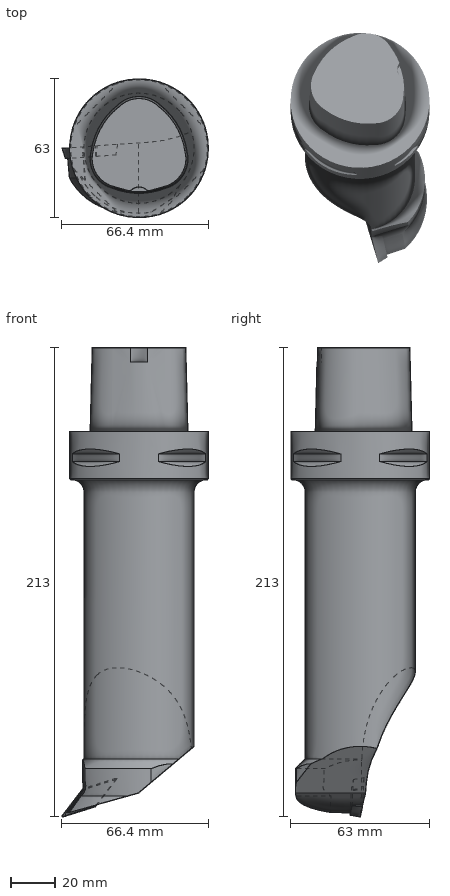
import cadquery as cq
import math


coupling_length = 38.0
coupling_mean_radius = 22.0
coupling_lobe = 1.5
coupling_taper = 1 / 40
flank_half_angle = 23.0
coupling_notch_width = 8.0
coupling_notch_height = 6.5
coupling_notch_radius = 5.0
coupling_notch_depth = 2.0

flange_radius = 31.5
flange_length = 22.0
flange_chamfer = 0.5
shank_radius = 25.0
shank_fillet = 5.5

groove_count = 4
groove_z = -12.0
groove_floor_radius = 27.6
groove_floor_width = 3.4
groove_wall_angle = 30.0

tip_x = -34.9
tip_z = -175.0
rake_turn = 4.0

head_radius = 29.5
head_top_z = -148.6
head_cone_z = head_top_z - (head_radius - shank_radius)
head_flare_z = -165.5
head_flare_angle = 33.0
head_flat_offset = 27.3
head_flat_direction = -56.9

heel_x = -0.3
heel_z = -164.2
back_slope = 40.0
toe_x = -32.8
toe_z = -173.3

relief_wall_x = -25.7
relief_wall_end_z = -158.8
relief_hollow_x = -25.4
relief_hollow_z = -161.5
relief_edge_x = -27.2
relief_edge_z = -165.4

flute_radius = 60.0
flute_slope = 17.0
flute_start_x = -25.0
flute_start_z = -150.0

insert_edge = 16.6
insert_point_angle = 35.0
insert_lead = 17.5
insert_thickness = 4.76
insert_clearance = 5.0
insert_nose_radius = 0.4

clear = 80.0


def polar(radius, degrees):
    angle = math.radians(degrees)
    return (radius * math.cos(angle), radius * math.sin(angle))


def lobe_point(mean_radius, degrees):
    """Point of the three-lobed curve with this outward normal direction; one lobe points to +Y."""
    phase = 3 * math.radians(degrees - 90)
    reach = mean_radius + coupling_lobe * math.cos(phase)
    slide = -3 * coupling_lobe * math.sin(phase)
    along = polar(reach, degrees)
    across = polar(slide, degrees + 90)
    return (along[0] + across[0], along[1] + across[1])


def lobed_outline(workplane, mean_radius):
    """Closed outline of three flank arcs and three lobe arcs."""
    outline = workplane.moveTo(*lobe_point(mean_radius, -90 - flank_half_angle))
    for flank_direction in (-90, 30, 150):
        lobe_direction = flank_direction + 60
        flank_end = flank_direction + flank_half_angle
        lobe_end = flank_direction + 120 - flank_half_angle
        outline = outline.threePointArc(
            lobe_point(mean_radius, flank_direction), lobe_point(mean_radius, flank_end)
        )
        outline = outline.threePointArc(
            lobe_point(mean_radius, lobe_direction), lobe_point(mean_radius, lobe_end)
        )
    return outline.close()


def make_coupling():
    top_radius = coupling_mean_radius - coupling_taper * coupling_length
    base = lobed_outline(cq.Workplane("XY"), coupling_mean_radius)
    coupling = lobed_outline(base.workplane(offset=coupling_length), top_radius).loft(ruled=True)

    flank_y = -(top_radius - coupling_lobe)
    notch_y = flank_y + coupling_notch_depth - coupling_notch_radius
    notch = (
        cq.Workplane("XY", origin=(0, notch_y, coupling_length - coupling_notch_height))
        .circle(coupling_notch_radius)
        .extrude(coupling_notch_height)
    )
    notch_limit = cq.Workplane("XY").box(coupling_notch_width, clear, clear * 2)
    return coupling.cut(notch.intersect(notch_limit))


def make_flange_and_shank():
    fillet_outer = shank_radius + shank_fillet
    fillet_end_z = -flange_length - shank_fillet
    fillet_mid = polar(shank_fillet, 135)
    return (
        cq.Workplane("XZ")
        .lineTo(flange_radius, 0)
        .lineTo(flange_radius, -flange_length + flange_chamfer)
        .lineTo(flange_radius - flange_chamfer, -flange_length)
        .lineTo(fillet_outer, -flange_length)
        .threePointArc(
            (fillet_outer + fillet_mid[0], fillet_end_z + fillet_mid[1]),
            (shank_radius, fillet_end_z),
        )
        .lineTo(shank_radius, tip_z)
        .lineTo(0, tip_z)
        .close()
        .revolve(360, (0, 0), (0, 1))
    )


def cut_gripper_grooves(body):
    depth = flange_radius - groove_floor_radius
    floor_half = groove_floor_width / 2
    mouth_half = floor_half + depth * math.tan(math.radians(groove_wall_angle))
    groove = (
        cq.Workplane("XZ")
        .moveTo(groove_floor_radius, groove_z - floor_half)
        .lineTo(flange_radius, groove_z - mouth_half)
        .lineTo(flange_radius, groove_z + mouth_half)
        .lineTo(groove_floor_radius, groove_z + floor_half)
        .close()
        .extrude(flange_radius, both=True)
    )
    for index in range(groove_count):
        direction = 360 / groove_count * (index + 0.5)
        body = body.cut(groove.rotate((0, 0, 0), (0, 0, 1), direction))
    return body


def turn_to_rake(shape):
    return shape.rotate((tip_x, 0, 0), (tip_x, 0, 1), rake_turn)


def make_head():
    """Wider end of the bar: cone, cylinder and flared skirt, less a side flat and a relief at the tip."""
    skirt_radius = head_radius + (head_flare_z - tip_z) * math.tan(math.radians(head_flare_angle))
    head = (
        cq.Workplane("XZ")
        .moveTo(0, head_top_z)
        .lineTo(shank_radius, head_top_z)
        .lineTo(head_radius, head_cone_z)
        .lineTo(head_radius, head_flare_z)
        .lineTo(skirt_radius, tip_z)
        .lineTo(0, tip_z)
        .close()
        .revolve(360, (0, 0), (0, 1))
    )
    side_flat = (
        cq.Workplane("XY", origin=(0, 0, tip_z))
        .transformed(rotate=(0, 0, head_flat_direction))
        .center(head_flat_offset + clear / 2, 0)
        .rect(clear, clear)
        .extrude(clear)
    )
    relief = (
        cq.Workplane("XZ")
        .moveTo(relief_wall_x, 0)
        .lineTo(relief_wall_x, relief_wall_end_z)
        .threePointArc((relief_hollow_x, relief_hollow_z), (relief_edge_x, relief_edge_z))
        .lineTo(toe_x, toe_z)
        .lineTo(toe_x, tip_z)
        .lineTo(-clear, tip_z)
        .lineTo(-clear, 0)
        .close()
        .extrude(clear, both=True)
    )
    return head.cut(side_flat).cut(turn_to_rake(relief))


def make_underside_cut():
    """Removes what lies below the bottom face and the steep back face."""
    bottom_slope = (heel_z - toe_z) / (heel_x - toe_x)
    back_rise = (clear - heel_x) * math.tan(math.radians(back_slope))
    return (
        cq.Workplane("XZ")
        .moveTo(heel_x, heel_z)
        .lineTo(clear, heel_z + back_rise)
        .lineTo(clear, tip_z - clear)
        .lineTo(-clear, tip_z - clear)
        .lineTo(-clear, heel_z - bottom_slope * (clear + heel_x))
        .close()
        .extrude(clear, both=True)
    )


def make_flute():
    """Flat rake face that runs out to the shank surface in a concave arc."""
    slope = math.radians(flute_slope)
    across_bar = cq.Plane(
        origin=(flute_start_x, 0, flute_start_z),
        xDir=(0, 1, 0),
        normal=(math.cos(slope), 0, -math.sin(slope)),
    )
    arc_mid = polar(flute_radius, 135)
    flute = (
        cq.Workplane(across_bar)
        .moveTo(0, -clear)
        .lineTo(0, 0)
        .threePointArc((flute_radius + arc_mid[0], arc_mid[1]), (flute_radius, flute_radius))
        .lineTo(flute_radius, -clear)
        .close()
        .extrude(clear, both=True)
    )
    return turn_to_rake(flute)


def make_insert():
    """Rhombic plate with a rounded nose; its rake face lies in the flute's flat."""
    half_point = math.radians(insert_point_angle / 2)
    nose_to_corner = insert_nose_radius / math.sin(half_point)
    axis_direction = insert_lead + insert_point_angle / 2
    to_corner = polar(nose_to_corner, axis_direction + 180)
    corner_x = tip_x + insert_nose_radius + to_corner[0]
    corner_z = tip_z + insert_nose_radius + to_corner[1]
    lower_edge = polar(insert_edge, insert_lead)
    upper_edge = polar(insert_edge, insert_lead + insert_point_angle)
    plate = (
        cq.Workplane("XZ", origin=(corner_x, 0, corner_z))
        .lineTo(*lower_edge)
        .lineTo(lower_edge[0] + upper_edge[0], lower_edge[1] + upper_edge[1])
        .lineTo(*upper_edge)
        .close()
        .extrude(insert_thickness, taper=insert_clearance)
    )
    nose_edge = cq.selectors.NearestToPointSelector((corner_x, -insert_thickness / 2, corner_z))
    plate = plate.edges(nose_edge).fillet(insert_nose_radius)
    return turn_to_rake(plate)


insert = make_insert()

bar = cut_gripper_grooves(make_flange_and_shank())
bar = bar.union(make_coupling()).union(make_head())
bar = bar.cut(make_underside_cut()).cut(make_flute()).cut(insert)

result = cq.Compound.makeCompound([bar.solids().val(), insert.solids().val()])